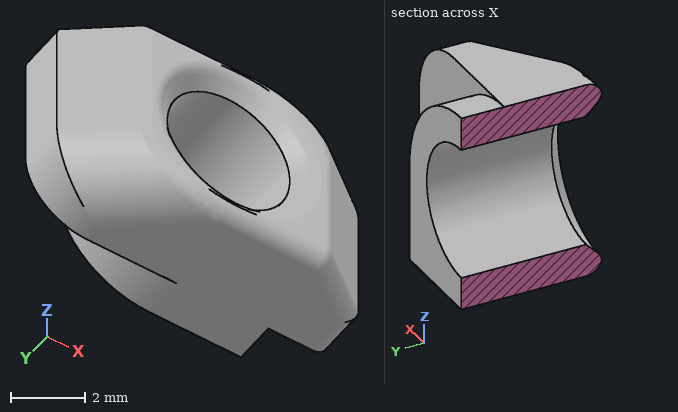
import cadquery as cq
import math

length = 9.84
height = 6.0
flange_depth = 3.0
tab_depth = 1.3
side_depth = 1.51
bevel_run = 1.92
turn_radius = 2.0
edge_radius = 0.5
bore_diameter = 3.995
countersink_diameter = 5.0

half_length = length / 2
half_height = height / 2
front_half_length = half_length - bevel_run
rear_y = flange_depth
tab_rear_y = rear_y + tab_depth
bevel_y = rear_y - side_depth


def beveled_flange():
    """Prism with both ends beveled toward the front face."""
    outline = [
        (-half_length, rear_y),
        (-half_length, bevel_y),
        (-front_half_length, 0),
        (front_half_length, 0),
        (half_length, bevel_y),
        (half_length, rear_y),
    ]
    return cq.Workplane("XY").polyline(outline).close().extrude(half_height, both=True)


def end_edges(body, x_sign, z_sign):
    """Straight and beveled edges at one corner of the flange."""
    middle_z = z_sign * half_height
    side_middle = (x_sign * half_length, (rear_y + bevel_y) / 2, middle_z)
    bevel_middle = (x_sign * (half_length + front_half_length) / 2, bevel_y / 2, middle_z)
    edges = [
        min(body.edges().vals(), key=lambda edge: (edge.Center() - cq.Vector(*middle)).Length)
        for middle in (side_middle, bevel_middle)
    ]
    return body.newObject(edges)


def rounded_flange():
    """Flange with rounded corners and a rounded rim around its front face."""
    body = beveled_flange()
    for x_sign in (-1, 1):
        body = end_edges(body, x_sign, x_sign).fillet(turn_radius)
    small_edges = body.faces("<Y").edges()
    for x_sign in (-1, 1):
        small_edges = small_edges.add(end_edges(body, x_sign, -x_sign))
    return small_edges.fillet(edge_radius)


def rear_tab():
    """Square tab with two opposite quarter-circle corners."""
    half = half_height
    arc_middle = half * math.sqrt(0.5)
    return (
        cq.Workplane("XZ", origin=(0, tab_rear_y, 0))
        .moveTo(-half, half)
        .lineTo(0, half)
        .threePointArc((arc_middle, arc_middle), (half, 0))
        .lineTo(half, -half)
        .lineTo(0, -half)
        .threePointArc((-arc_middle, -arc_middle), (-half, 0))
        .close()
        .extrude(tab_depth)
    )


def hole_cutter():
    """Through bore with a 45 degree countersink blended into the front face."""
    bore_radius = bore_diameter / 2
    sink_radius = countersink_diameter / 2
    sink_depth = sink_radius - bore_radius
    half_turn = math.radians(45) / 2
    tangent = edge_radius * math.tan(half_turn)
    diagonal = math.sqrt(0.5)
    lip_radius = sink_radius + tangent
    arc_middle = (
        lip_radius - edge_radius * math.sin(half_turn),
        edge_radius * (1 - math.cos(half_turn)),
    )
    arc_end = (sink_radius - tangent * diagonal, tangent * diagonal)
    return (
        cq.Workplane("XY")
        .lineTo(lip_radius, 0)
        .threePointArc(arc_middle, arc_end)
        .lineTo(bore_radius, sink_depth)
        .lineTo(bore_radius, tab_rear_y)
        .lineTo(0, tab_rear_y)
        .close()
        .revolve(360, (0, 0, 0), (0, 1, 0))
    )


result = rounded_flange().union(rear_tab()).cut(hole_cutter())